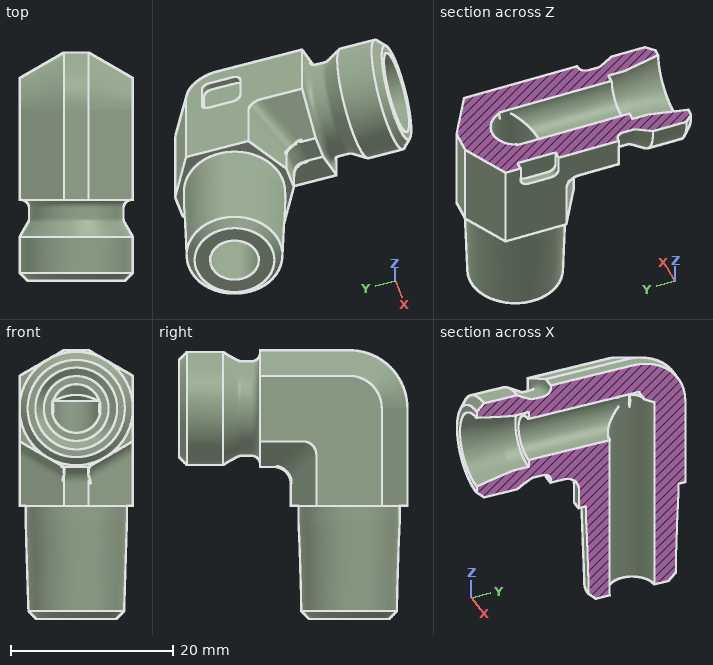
import math

import cadquery as cq

ACROSS_FLATS = 14.0
BODY_HALF_DEPTH = 7.22
LEG_LENGTH = 12.0
ARM_LENGTH = 11.0
INNER_CORNER_RADIUS = 2.0
TOLERANCE = 1e-4

STUD_DIAMETER = 12.53
STUD_LENGTH = 14.0
STUD_STRAIGHT_LENGTH = 2.0
STUD_TAPER = 1 / 16
STUD_CHAMFER = 1.0

TUBE_END_DIAMETER = 14.0
TUBE_END_LENGTH = 10.0
TUBE_END_CHAMFER = 1.0
TUBE_END_CYLINDER_LENGTH = 5.45
RELIEF_DIAMETER = 11.7
RELIEF_RADIUS = 1.0
RELIEF_CONE_ANGLE = 30.0

BORE_DIAMETER = 6.0
BORE_OVERRUN = 0.9
DRILL_POINT_ANGLE = 118.0
SEAT_MOUTH_DIAMETER = 10.1
SEAT_DIAMETER = 8.0
SEAT_CONE_ANGLE = 24.0
SEAT_DEPTH = 7.0

RECESS_SIZE = 5.0
RECESS_CORNER_RADIUS = 1.0
RECESS_DEPTH = 1.0
RECESS_CENTER_Y = -0.5
RECESS_CENTER_Z = -0.5

HALF_WIDTH = ACROSS_FLATS / 2
HEX_SIDE_HALF = HALF_WIDTH / math.sqrt(3)
HEX_CORNER = 2 * HEX_SIDE_HALF
TRIM_HALF_WIDTH = (HEX_CORNER - BODY_HALF_DEPTH) * math.sqrt(3)
STUD_END_Z = -(LEG_LENGTH + STUD_LENGTH)
TUBE_END_Y = -(ARM_LENGTH + TUBE_END_LENGTH)


def half_section():
    """Outer half of the body section, as (across, outward) points."""
    return [
        (HALF_WIDTH, HEX_SIDE_HALF),
        (TRIM_HALF_WIDTH, BODY_HALF_DEPTH),
        (-TRIM_HALF_WIDTH, BODY_HALF_DEPTH),
        (-HALF_WIDTH, HEX_SIDE_HALF),
    ]


def full_section():
    """Hexagon with its two corners on the bend plane trimmed flat."""
    return half_section() + [(-across, -outward) for across, outward in half_section()]


def is_inner_corner(edge):
    """True for the edges where the leg and the arm meet on the inside of the bend."""
    center = edge.Center()
    on_miter = abs(center.y - center.z) < TOLERANCE
    inside_bend = -BODY_HALF_DEPTH - TOLERANCE < center.y < -HEX_SIDE_HALF
    return on_miter and inside_bend


def make_body():
    leg = cq.Workplane("XY").polyline(full_section()).close().extrude(-LEG_LENGTH)
    arm = cq.Workplane("XZ").polyline(full_section()).close().extrude(ARM_LENGTH)
    bend_section = [(HALF_WIDTH, 0)] + half_section() + [(-HALF_WIDTH, 0)]
    bend = cq.Workplane("XY").polyline(bend_section).close().revolve(90, (0, 0, 0), (1, 0, 0))
    body = leg.union(arm).union(bend)
    inner_corner = [edge for edge in body.edges().vals() if is_inner_corner(edge)]
    return body.newObject(inner_corner).fillet(INNER_CORNER_RADIUS)


def make_stud():
    radius = STUD_DIAMETER / 2
    taper_start_z = -(LEG_LENGTH + STUD_STRAIGHT_LENGTH)
    taper_end_z = STUD_END_Z + STUD_CHAMFER
    tip_radius = radius - (taper_start_z - taper_end_z) * STUD_TAPER / 2
    return (
        cq.Workplane("XZ")
        .moveTo(0, -LEG_LENGTH)
        .lineTo(radius, -LEG_LENGTH)
        .lineTo(radius, taper_start_z)
        .lineTo(tip_radius, taper_end_z)
        .lineTo(tip_radius - STUD_CHAMFER, STUD_END_Z)
        .lineTo(0, STUD_END_Z)
        .close()
        .revolve(360, (0, 0, 0), (0, 1, 0))
    )


def make_tube_end():
    radius = TUBE_END_DIAMETER / 2
    relief = RELIEF_DIAMETER / 2
    flank = math.radians(RELIEF_CONE_ANGLE)
    cylinder_start_y = TUBE_END_Y + TUBE_END_CYLINDER_LENGTH
    corner_y = cylinder_start_y + (radius - relief) / math.tan(flank)
    tangent = RELIEF_RADIUS * math.tan(flank / 2)
    arc_end = (relief + tangent * math.sin(flank), corner_y - tangent * math.cos(flank))
    return (
        cq.Workplane("XY")
        .moveTo(0, -ARM_LENGTH)
        .lineTo(relief + RELIEF_RADIUS, -ARM_LENGTH)
        .radiusArc((relief, -ARM_LENGTH - RELIEF_RADIUS), -RELIEF_RADIUS)
        .lineTo(relief, corner_y + tangent)
        .radiusArc(arc_end, -RELIEF_RADIUS)
        .lineTo(radius, cylinder_start_y)
        .lineTo(radius, TUBE_END_Y + TUBE_END_CHAMFER)
        .lineTo(radius - TUBE_END_CHAMFER, TUBE_END_Y)
        .lineTo(0, TUBE_END_Y)
        .close()
        .revolve(360, (0, 0, 0), (0, 1, 0))
    )


def make_bore(plane, mouth):
    """Drilled hole along the plane's second axis, from `mouth` to just past the origin."""
    radius = BORE_DIAMETER / 2
    point_length = radius / math.tan(math.radians(DRILL_POINT_ANGLE / 2))
    return (
        cq.Workplane(plane)
        .moveTo(0, mouth)
        .lineTo(radius, mouth)
        .lineTo(radius, BORE_OVERRUN)
        .lineTo(0, BORE_OVERRUN + point_length)
        .close()
        .revolve(360, (0, 0, 0), (0, 1, 0))
    )


def make_tube_seat():
    mouth_radius = SEAT_MOUTH_DIAMETER / 2
    seat_radius = SEAT_DIAMETER / 2
    cone_length = (mouth_radius - seat_radius) / math.tan(math.radians(SEAT_CONE_ANGLE / 2))
    return (
        cq.Workplane("XY")
        .moveTo(0, TUBE_END_Y)
        .lineTo(mouth_radius, TUBE_END_Y)
        .lineTo(seat_radius, TUBE_END_Y + cone_length)
        .lineTo(seat_radius, TUBE_END_Y + SEAT_DEPTH)
        .lineTo(0, TUBE_END_Y + SEAT_DEPTH)
        .close()
        .revolve(360, (0, 0, 0), (0, 1, 0))
    )


def make_recess():
    return (
        cq.Workplane("YZ", origin=(-HALF_WIDTH, RECESS_CENTER_Y, RECESS_CENTER_Z))
        .rect(RECESS_SIZE, RECESS_SIZE)
        .extrude(RECESS_DEPTH)
        .edges("|X")
        .fillet(RECESS_CORNER_RADIUS)
    )


result = (
    make_body()
    .union(make_stud())
    .union(make_tube_end())
    .cut(make_bore("XZ", STUD_END_Z))
    .cut(make_bore("XY", TUBE_END_Y))
    .cut(make_tube_seat())
    .cut(make_recess())
)